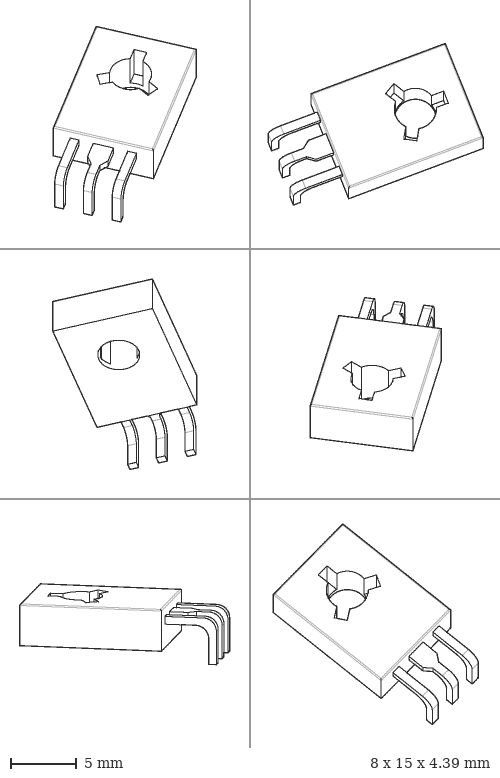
import cadquery as cq

overall_length = 15.0
lead_reach = 4.0
housing_length = overall_length - lead_reach
housing_width = 8.0
housing_height = 3.24
top_fillet = 0.1

hole_diameter = 3.2
hole_to_back = 4.0
hole_y = housing_length - hole_to_back
notch_count = 3
notch_width = 1.0
notch_reach = 2.5
notch_floor_z = 0.5

lead_width = 0.7
lead_thickness = 0.6
lead_pitch = 2.3
lead_top_z = 2.45
lead_end_z = -1.15
bend_radius = 1.0
wide_width = 1.62
wide_length = 1.42
taper_end = 2.02


def make_housing():
    """Block with a rounded top edge, a through hole and radial notches."""
    block = (
        cq.Workplane("XY")
        .box(housing_width, housing_length, housing_height, centered=(True, False, False))
        .faces(">Z")
        .fillet(top_fillet)
    )
    hole = cq.Workplane("XY").center(0, hole_y).circle(hole_diameter / 2).extrude(housing_height)
    block = block.cut(hole)

    notch = (
        cq.Workplane("XY", origin=(0, hole_y, notch_floor_z))
        .center(0, notch_reach / 2)
        .rect(notch_width, notch_reach)
        .extrude(housing_height - notch_floor_z)
    )
    for index in range(notch_count):
        angle = index * 360 / notch_count
        block = block.cut(notch.rotate((0, hole_y, 0), (0, hole_y, 1), angle))
    return block


def make_lead(x):
    """Bent strip centred on x; both faces of the bend have the same radius."""
    lead_bottom_z = lead_top_z - lead_thickness
    inner_y = lead_thickness - lead_reach
    strip = (
        cq.Workplane("YZ", origin=(x - lead_width / 2, 0, 0))
        .moveTo(0, lead_top_z)
        .lineTo(bend_radius - lead_reach, lead_top_z)
        .radiusArc((-lead_reach, lead_top_z - bend_radius), -bend_radius)
        .lineTo(-lead_reach, lead_end_z)
        .lineTo(inner_y, lead_end_z)
        .lineTo(inner_y, lead_bottom_z - bend_radius)
        .radiusArc((inner_y + bend_radius, lead_bottom_z), bend_radius)
        .lineTo(0, lead_bottom_z)
        .close()
        .extrude(lead_width)
    )
    return strip


def make_wide_lead():
    """Middle lead: a bent strip with a wide root that tapers to the strip width."""
    root = (
        cq.Workplane("XY", origin=(0, 0, lead_top_z - lead_thickness))
        .moveTo(-wide_width / 2, 0)
        .lineTo(-wide_width / 2, -wide_length)
        .lineTo(-lead_width / 2, -taper_end)
        .lineTo(lead_width / 2, -taper_end)
        .lineTo(wide_width / 2, -wide_length)
        .lineTo(wide_width / 2, 0)
        .close()
        .extrude(lead_thickness)
    )
    return make_lead(0).union(root)


housing = make_housing()
wide_lead = make_wide_lead()
side_leads = [make_lead(side * lead_pitch) for side in (-1, 1)]

result = cq.Compound.makeCompound(
    [housing.val(), wide_lead.val(), *[lead.val() for lead in side_leads]]
)